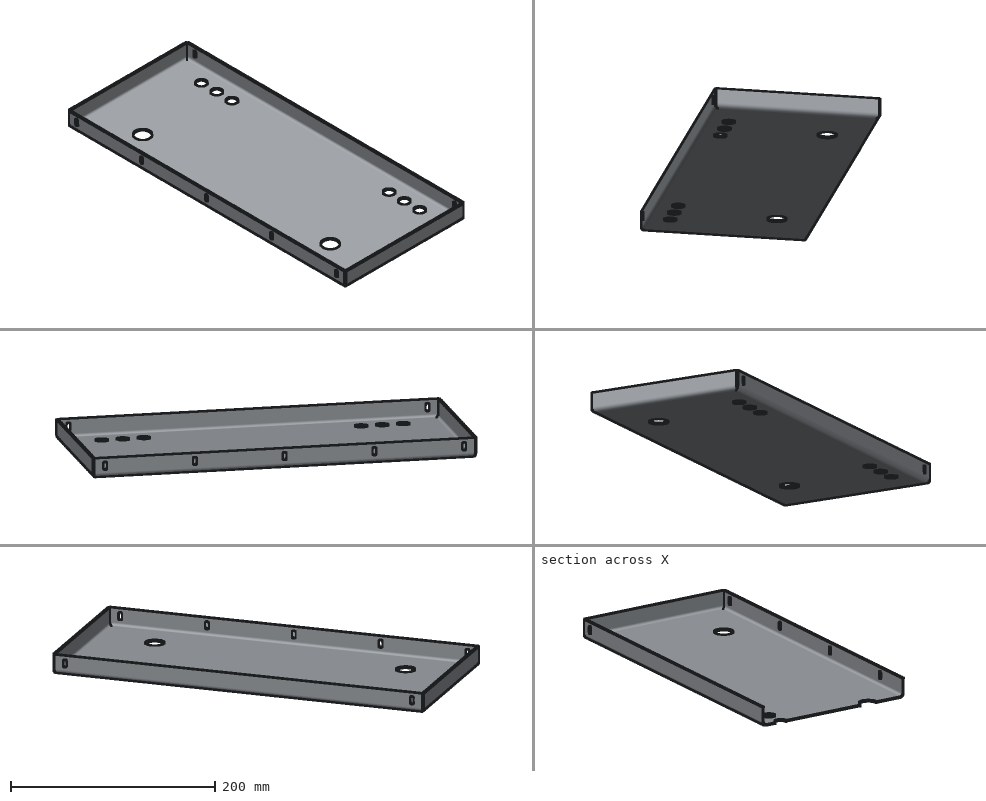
import cadquery as cq

length = 384.8
width = 165.0
height = 20.0
sheet = 2.0
inner_bend = 2.7
outer_bend = inner_bend + sheet

corner_notch = 1.5

group_x = 130.0
small_pitch = 21.0
small_y = 61.0
small_diameter = 12.5
large_y = -41.0
large_diameter = 19.0

slot_pitch = 90.0
slot_width = 4.0
slot_height = 8.0
slot_z = 12.0


def rounded_block(x_size, y_size, bottom, bend_radius):
    """Block from bottom up to the rim, with its lower edges rounded."""
    block_height = height - bottom
    block = cq.Workplane("XY").box(x_size, y_size, block_height, centered=(True, True, False))
    return block.faces("<Z").edges().fillet(bend_radius).translate((0, 0, bottom))


def bent_tray():
    """Thin floor with four bent-up walls and open outer corners."""
    outside = rounded_block(length, width, 0, outer_bend)
    inside = rounded_block(length - 2 * sheet, width - 2 * sheet, sheet, inner_bend)
    notches = (
        cq.Workplane("XY")
        .rect(length, width, forConstruction=True)
        .vertices()
        .rect(2 * corner_notch, 2 * corner_notch)
        .extrude(height)
    )
    return outside.cut(inside).cut(notches)


def floor_holes(points, diameter):
    """Cutters for round holes through the floor."""
    return cq.Workplane("XY").pushPoints(points).circle(diameter / 2).extrude(height)


def wall_slots(positions, depth):
    """Upright slot cutters, starting at the front wall and running toward +Y."""
    points = [(x, slot_z) for x in positions]
    return (
        cq.Workplane("XZ", origin=(0, -width / 2, 0))
        .pushPoints(points)
        .slot2D(slot_height, slot_width, 90)
        .extrude(-depth)
    )


small_points = [
    (side * group_x + step * small_pitch, small_y)
    for side in (-1, 1)
    for step in (-1, 0, 1)
]
large_points = [(side * group_x, large_y) for side in (-1, 1)]

end_slots = [step * slot_pitch for step in (-2, 2)]
middle_slots = [step * slot_pitch for step in (-1, 0, 1)]

result = (
    bent_tray()
    .cut(floor_holes(small_points, small_diameter))
    .cut(floor_holes(large_points, large_diameter))
    .cut(wall_slots(end_slots, width))
    .cut(wall_slots(middle_slots, sheet))
)